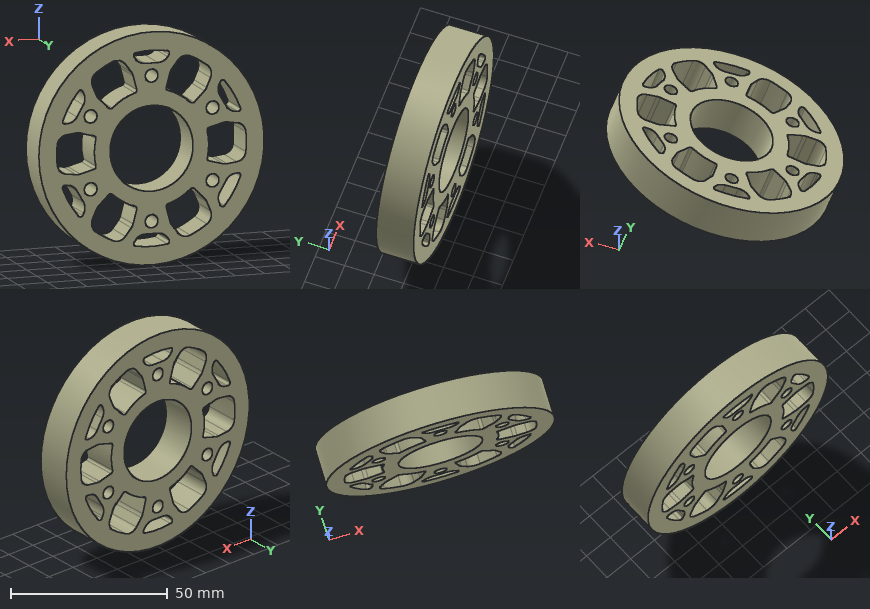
import cadquery as cq
import math

outer_diameter = 76.2
thickness = 12.7
bore_diameter = 28.0

pattern_count = 6
pattern_step = 360.0 / pattern_count
bolt_offset_angle = pattern_step / 2

bolt_hole_diameter = 4.3
bolt_circle_radius = 23.8

pocket_outer_radius = 32.0
window_inner_radius = 19.35
window_inner_half_angle = 15.6
window_outer_half_angle = 10.9
window_waist_radius = 24.8
window_waist_half_width = 6.85
window_round = 3.5

opening_floor_radius = 27.9
opening_floor_half_width = 4.3
opening_outer_half_angle = 11.9
opening_round = 4.0

tip_round = 0.85


def polar(radius, angle):
    """Point at a radius and an angle in degrees from the local X axis."""
    return radius * math.cos(math.radians(angle)), radius * math.sin(math.radians(angle))


def mirrored(point):
    return point[0], -point[1]


def front_plane():
    """Plane of the disc's -Y face; the disc is centred on Y = 0."""
    return cq.Workplane("XZ", origin=(0, -thickness / 2, 0))


def disc(diameter):
    return front_plane().circle(diameter / 2).extrude(-thickness)


def round_corners(cutter, points, radius):
    """Round the edges of a cutter that run along Y at the given points and their mirror images."""
    for point in points:
        for x, z in (point, mirrored(point)):
            cutter = cutter.edges(cq.selectors.NearestToPointSelector((x, 0, z))).fillet(radius)
    return cutter


def window_cutter():
    """Six-cornered window centred on +X: two arcs joined by bent sides."""
    inner = polar(window_inner_radius, window_inner_half_angle)
    waist = (window_waist_radius, window_waist_half_width)
    outer = polar(pocket_outer_radius, window_outer_half_angle)
    cutter = (
        front_plane()
        .moveTo(*inner)
        .lineTo(*waist)
        .lineTo(*outer)
        .threePointArc((pocket_outer_radius, 0), mirrored(outer))
        .lineTo(*mirrored(waist))
        .lineTo(*mirrored(inner))
        .threePointArc((window_inner_radius, 0), inner)
        .close()
        .extrude(-thickness)
    )
    cutter = round_corners(cutter, [waist, outer], window_round)
    return round_corners(cutter, [inner], tip_round)


def opening_cutter():
    """Small opening centred on +X: flat floor, slanted sides and an outer arc."""
    floor = (opening_floor_radius, opening_floor_half_width)
    outer = polar(pocket_outer_radius, opening_outer_half_angle)
    cutter = (
        front_plane()
        .moveTo(*floor)
        .lineTo(*outer)
        .threePointArc((pocket_outer_radius, 0), mirrored(outer))
        .lineTo(*mirrored(floor))
        .close()
        .extrude(-thickness)
    )
    cutter = round_corners(cutter, [outer], tip_round)
    return round_corners(cutter, [floor], opening_round)


def bolt_hole_cutter():
    return disc(bolt_hole_diameter).translate((bolt_circle_radius, 0, 0))


def cut_around_axis(body, cutter, start_angle):
    """Cut copies of a cutter evenly spaced around the Y axis."""
    for index in range(pattern_count):
        angle = start_angle + index * pattern_step
        body = body.cut(cutter.rotate((0, 0, 0), (0, 1, 0), angle))
    return body


result = disc(outer_diameter).cut(disc(bore_diameter))
result = cut_around_axis(result, window_cutter(), 0)
result = cut_around_axis(result, opening_cutter(), bolt_offset_angle)
result = cut_around_axis(result, bolt_hole_cutter(), bolt_offset_angle)